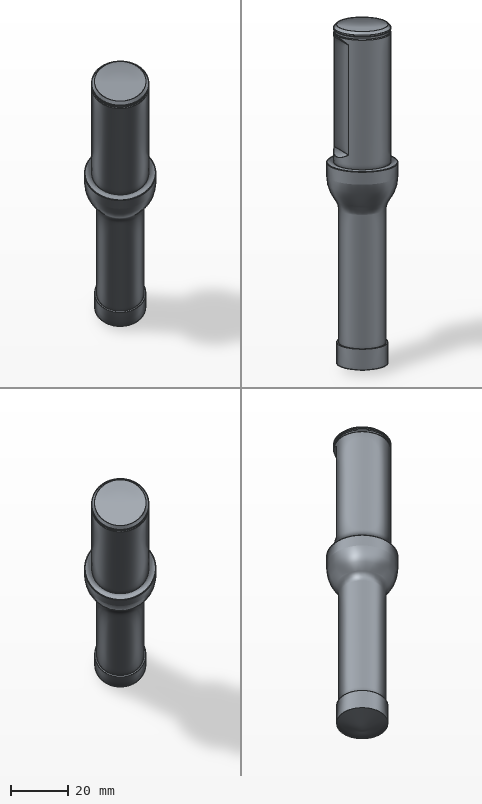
import cadquery as cq
import math

total_length = 126.0
point_height = 2.8
head_top = 10.3
neck_fillet_bottom = 59.0
blend_joint = 62.5
flange_band_bottom = 71.2
flange_top = 76.0

head_radius = 17.9 / 2
neck_radius = 16.6 / 2
flange_radius = 25.0 / 2
shank_radius = 20.0 / 2

flange_edge_chamfer = 0.19

end_chamfer = 1.0
groove_top = 124.5
groove_width = 1.4
groove_depth = 0.32

flat_y = 8.1
flat_bottom = 81.0
flat_top = 121.0


def blend_offset(radius, angle):
    """Radial and axial travel along an arc that starts parallel to the axis."""
    return radius * (1 - math.cos(angle)), radius * math.sin(angle)


def make_holder():
    """Revolved neck, flange and shank with the clamping flat cut away."""
    radial_rise = flange_radius - neck_radius
    axial_rise = flange_band_bottom - neck_fillet_bottom
    sweep = 2 * math.atan2(radial_rise, axial_rise)
    fillet_radius = (blend_joint - neck_fillet_bottom) / math.sin(sweep)
    bulge_radius = (flange_band_bottom - blend_joint) / math.sin(sweep)
    fillet_mid_radial, fillet_mid_axial = blend_offset(fillet_radius, sweep / 2)
    joint_radial, _ = blend_offset(fillet_radius, sweep)
    bulge_mid_radial, bulge_mid_axial = blend_offset(bulge_radius, sweep / 2)
    groove_bottom = groove_top - groove_width
    groove_radius = shank_radius - groove_depth

    body = (
        cq.Workplane("XZ")
        .moveTo(0, head_top)
        .lineTo(neck_radius, head_top)
        .lineTo(neck_radius, neck_fillet_bottom)
        .threePointArc(
            (neck_radius + fillet_mid_radial, neck_fillet_bottom + fillet_mid_axial),
            (neck_radius + joint_radial, blend_joint),
        )
        .threePointArc(
            (flange_radius - bulge_mid_radial, flange_band_bottom - bulge_mid_axial),
            (flange_radius, flange_band_bottom),
        )
        .lineTo(flange_radius, flange_top - flange_edge_chamfer)
        .lineTo(flange_radius - flange_edge_chamfer, flange_top)
        .lineTo(shank_radius, flange_top)
        .lineTo(shank_radius, groove_bottom)
        .lineTo(groove_radius, groove_bottom + groove_depth)
        .lineTo(groove_radius, groove_top - groove_depth)
        .lineTo(shank_radius, groove_top)
        .lineTo(shank_radius, total_length - end_chamfer)
        .lineTo(shank_radius - end_chamfer, total_length)
        .lineTo(0, total_length)
        .close()
        .revolve(360, (0, 0), (0, 1))
    )
    return body.cut(make_flat_cutter())


def make_flat_cutter():
    """Trapezoidal prism along X that widens outward from the flat."""
    outer_y = shank_radius
    ramp = outer_y - flat_y
    return (
        cq.Workplane("YZ")
        .polyline([
            (flat_y, flat_bottom),
            (outer_y, flat_bottom - ramp),
            (outer_y, flat_top + ramp),
            (flat_y, flat_top),
        ])
        .close()
        .extrude(shank_radius, both=True)
    )


def make_drill_head():
    """Cylindrical cutting head with a conical point."""
    return (
        cq.Workplane("XZ")
        .polyline([
            (0, 0),
            (head_radius, point_height),
            (head_radius, head_top),
            (0, head_top),
        ])
        .close()
        .revolve(360, (0, 0), (0, 1))
    )


holder = make_holder()
drill_head = make_drill_head()

result = cq.Compound.makeCompound([holder.val(), drill_head.val()])